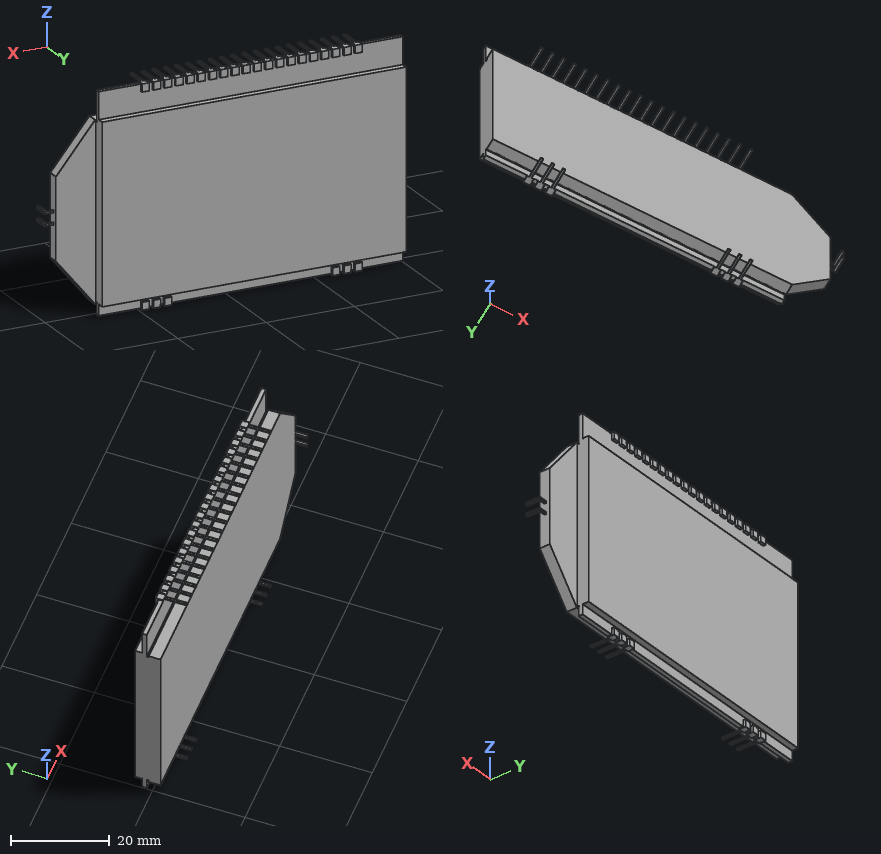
import cadquery as cq

TOTAL_LENGTH = 80.0
TOTAL_DEPTH = 7.4
TOTAL_HEIGHT = 49.1

GLASS_LENGTH = 68.9
BACKLIGHT_FRONT = 1.9
FILM_FRONT = 4.6
GLASS_FRONT = 4.9
GLASS_BACK = 5.9

BACKLIGHT_LENGTH = 77.9
BACKLIGHT_BOTTOM = 2.3
BACKLIGHT_HEIGHT = 40.0
BACKLIGHT_STRAIGHT = 69.0
NOSE_HEIGHT = 18.4
BACKLIGHT_MIDDLE = BACKLIGHT_BOTTOM + BACKLIGHT_HEIGHT / 2

FILM_BOTTOM = 2.7
FILM_TOP = 42.0
COVER_BOTTOM = 2.7
COVER_TOP = 42.8

CLIP_COUNT = 20
CLIP_SPAN = 48.2
CLIP_PITCH = CLIP_SPAN / (CLIP_COUNT - 1)
FIRST_CLIP = (GLASS_LENGTH - CLIP_SPAN) / 2
CLIP_WIDTH = 1.6
CLIP_HEIGHT = 1.8
CLIP_BACK = 6.6
CLIP_THICKNESS = 0.2
PIN_WIDTH = 0.6
LOWER_CLIPS_PER_GROUP = 3

LEAD_SPACING = 2.6
LEAD_HEIGHT = 0.5
LEAD_THICKNESS = 0.4
LEAD_LEG_LENGTH = 0.6
LEAD_BACK = 3.6


def block(x_range, y_range, z_range):
    """Box given by its (low, high) limits along each axis."""
    limits = (x_range, y_range, z_range)
    sizes = [high - low for low, high in limits]
    corner = tuple(low for low, high in limits)
    return cq.Workplane("XY").box(*sizes, centered=False).translate(corner)


def backlight():
    """Thick front plate whose right end tapers to a flat nose."""
    top = BACKLIGHT_BOTTOM + BACKLIGHT_HEIGHT
    outline = [
        (0, BACKLIGHT_BOTTOM),
        (BACKLIGHT_STRAIGHT, BACKLIGHT_BOTTOM),
        (BACKLIGHT_LENGTH, BACKLIGHT_MIDDLE - NOSE_HEIGHT / 2),
        (BACKLIGHT_LENGTH, BACKLIGHT_MIDDLE + NOSE_HEIGHT / 2),
        (BACKLIGHT_STRAIGHT, top),
        (0, top),
    ]
    plate = cq.Workplane("XZ").polyline(outline).close().extrude(BACKLIGHT_FRONT - FILM_FRONT)
    return plate.translate((0, BACKLIGHT_FRONT, 0))


def display_layers():
    """Film, glass and cover plate stacked behind the backlight."""
    length = (0, GLASS_LENGTH)
    film = block(length, (FILM_FRONT, GLASS_FRONT), (FILM_BOTTOM, FILM_TOP))
    glass = block(length, (GLASS_FRONT, GLASS_BACK), (CLIP_THICKNESS, TOTAL_HEIGHT - CLIP_THICKNESS))
    cover = block(length, (GLASS_BACK, TOTAL_DEPTH), (COVER_BOTTOM, COVER_TOP))
    return film.union(glass).union(cover)


def upper_clip(x):
    """Clip over the top edge of the glass, with a narrow pin reaching forward."""
    width = (x - CLIP_WIDTH / 2, x + CLIP_WIDTH / 2)
    pin_width = (x - PIN_WIDTH / 2, x + PIN_WIDTH / 2)
    cap_height = (TOTAL_HEIGHT - CLIP_THICKNESS, TOTAL_HEIGHT)
    back = block(width, (GLASS_BACK, CLIP_BACK), (TOTAL_HEIGHT - CLIP_HEIGHT, TOTAL_HEIGHT))
    cap = block(width, (GLASS_FRONT, CLIP_BACK), cap_height)
    pin = block(pin_width, (0, GLASS_FRONT), cap_height)
    return back.union(cap).union(pin)


def lower_clip(x):
    """Upper clip mirrored onto the bottom edge of the glass."""
    return upper_clip(x).mirror("XY", (0, 0, TOTAL_HEIGHT / 2))


def backlight_lead(z):
    """Lead leaving the nose of the backlight and bent forward."""
    height = (z - LEAD_HEIGHT / 2, z + LEAD_HEIGHT / 2)
    arm = block((BACKLIGHT_LENGTH, TOTAL_LENGTH), (LEAD_BACK - LEAD_THICKNESS, LEAD_BACK), height)
    leg = block((TOTAL_LENGTH - LEAD_LEG_LENGTH, TOTAL_LENGTH), (0, LEAD_BACK), height)
    return arm.union(leg)


result = backlight().union(display_layers())

for index in range(CLIP_COUNT):
    clip_x = FIRST_CLIP + index * CLIP_PITCH
    result = result.union(upper_clip(clip_x))
    if min(index, CLIP_COUNT - 1 - index) < LOWER_CLIPS_PER_GROUP:
        result = result.union(lower_clip(clip_x))

for side in (-1, 1):
    result = result.union(backlight_lead(BACKLIGHT_MIDDLE + side * LEAD_SPACING / 2))